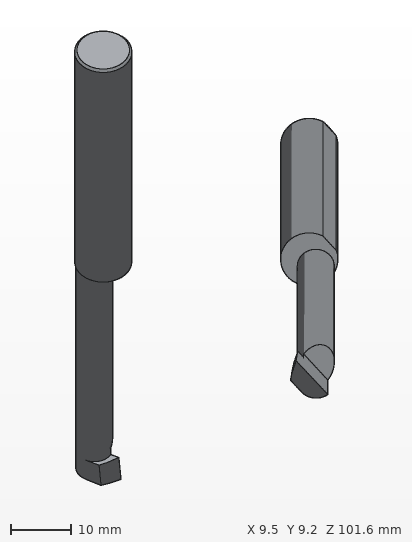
import cadquery as cq
import math

total_length = 101.6
shank_length = 50.8
shank_diameter = 9.5
flat_depth = 0.3
top_chamfer = 0.4

neck_diameter = 6.2
neck_radius = neck_diameter / 2
neck_x = neck_radius - shank_diameter / 2

rake_face_height = 6.6

tooth_height = 5.1
tip_x = 3.4
heel_x = 1.2
relief_x = 2.1
relief_y = -1.9
side_taper = 0.4

end_rise_x = 0.3
end_rise_y = 0.3


def make_shank():
    """Round shank with a chamfered top and a shallow flat on +Y."""
    shank = (
        cq.Workplane("XY")
        .workplane(offset=total_length - shank_length)
        .circle(shank_diameter / 2)
        .extrude(shank_length)
        .faces(">Z")
        .chamfer(top_chamfer)
    )
    flat_cut = (
        cq.Workplane("XY")
        .box(shank_diameter, shank_diameter, total_length, centered=(True, False, False))
        .translate((0, shank_diameter / 2 - flat_depth, 0))
    )
    return shank.cut(flat_cut)


def make_neck():
    """Round neck cut down to its -Y half at the tip."""
    neck = (
        cq.Workplane("XY")
        .center(neck_x, 0)
        .circle(neck_radius)
        .extrude(total_length - shank_length)
    )
    reach = neck_diameter
    tip_cut = (
        cq.Workplane("YZ")
        .polyline([(0, 0), (0, rake_face_height), (reach, rake_face_height + reach), (reach, 0)])
        .close()
        .extrude(shank_diameter, both=True)
    )
    return neck.cut(tip_cut)


def tooth_outline(setback):
    """Corners of the tooth section, with its +X flank drawn back by setback."""
    return [
        (neck_x, 0),
        (neck_x, -neck_radius),
        (heel_x - setback, -neck_radius),
        (relief_x - setback, relief_y),
        (tip_x - setback, 0),
    ]


def make_tooth():
    """Tooth whose faceted flank leans inward with height."""
    return (
        cq.Workplane("XY")
        .polyline(tooth_outline(0))
        .close()
        .workplane(offset=tooth_height)
        .polyline(tooth_outline(side_taper))
        .close()
        .loft(ruled=True)
    )


def make_end_clearance():
    """Cutter for the end face, sloping up toward -X and -Y from the tip."""
    tip_span = tip_x + shank_diameter / 2
    slope_x = math.degrees(math.atan(end_rise_x / tip_span))
    slope_y = math.degrees(math.atan(end_rise_y / neck_radius))
    cutter_side = 4 * shank_diameter
    return (
        cq.Workplane("XY")
        .box(cutter_side, cutter_side, shank_diameter, centered=(True, True, False))
        .translate((0, 0, -shank_diameter))
        .rotate((0, 0, 0), (0, 1, 0), slope_x)
        .rotate((0, 0, 0), (1, 0, 0), -slope_y)
        .translate((tip_x, 0, 0))
    )


tip = make_neck().union(make_tooth()).cut(make_end_clearance())
result = make_shank().union(tip)